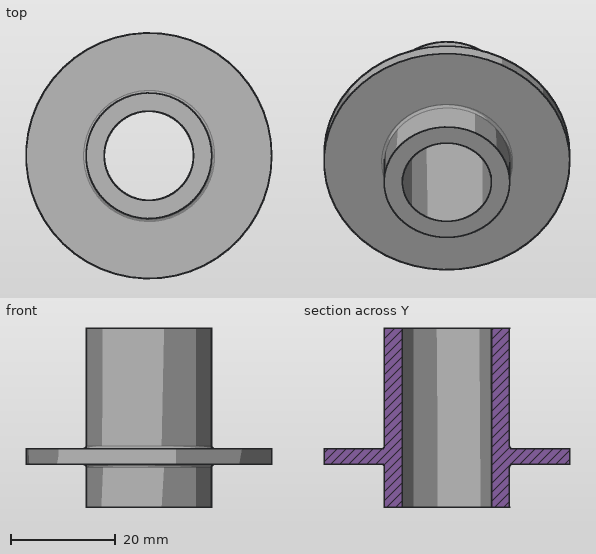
import cadquery as cq

flange_diameter = 47.0
flange_thickness = 3.0
tube_diameter = 24.0
bore_diameter = 17.0
tube_length = 34.25
flange_bottom = 8.22
root_fillet = 0.5

tube_radius = tube_diameter / 2
flange_radius = flange_diameter / 2
flange_top = flange_bottom + flange_thickness
fillet_mid = root_fillet * 0.5**0.5
fillet_centre_radius = tube_radius + root_fillet

body = (
    cq.Workplane("XZ")
    .moveTo(0, 0)
    .lineTo(tube_radius, 0)
    .lineTo(tube_radius, flange_bottom - root_fillet)
    .threePointArc(
        (fillet_centre_radius - fillet_mid, flange_bottom - root_fillet + fillet_mid),
        (fillet_centre_radius, flange_bottom),
    )
    .lineTo(flange_radius, flange_bottom)
    .lineTo(flange_radius, flange_top)
    .lineTo(fillet_centre_radius, flange_top)
    .threePointArc(
        (fillet_centre_radius - fillet_mid, flange_top + root_fillet - fillet_mid),
        (tube_radius, flange_top + root_fillet),
    )
    .lineTo(tube_radius, tube_length)
    .lineTo(0, tube_length)
    .close()
    .revolve(360, (0, 0, 0), (0, 1, 0))
)

bore = cq.Workplane("XY").circle(bore_diameter / 2).extrude(tube_length)

result = body.cut(bore)